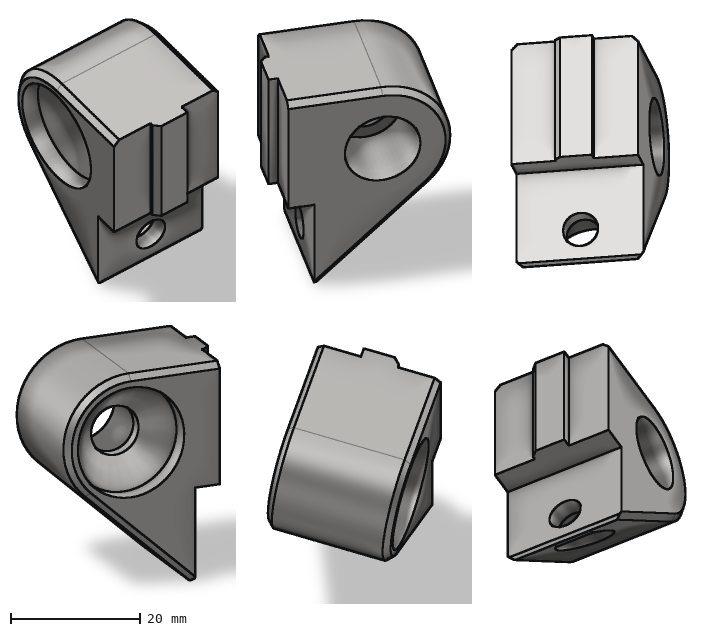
import cadquery as cq
import math

depth = 20.0
nose_radius = 11.0
block_right = 15.0
block_bottom = -8.92
leg_right = 10.87
tip_x = 10.38
tip_z = -24.4
edge_chamfer = 1.0

key_height = 1.5
key_width = 6.02
key_chamfer = 1.0

throat_diameter = 8.0
recess_diameter = 18.0
recess_depth = 3.0
cone_depth = 3.25
throat_length = 2.0
rear_bore_diameter = 12.0

screw_z = -18.95
screw_y = 0.1
screw_diameter = 5.5
head_diameter = 8.92
head_seat_wall = 2.9

front = -depth / 2

tangent_angle = math.atan2(tip_z, tip_x) - math.acos(nose_radius / math.hypot(tip_x, tip_z))
normal_x = math.cos(tangent_angle)
normal_z = math.sin(tangent_angle)
tangent_point = (nose_radius * normal_x, nose_radius * normal_z)
tip_cut_z = tip_z + (leg_right - tip_x) * normal_z / normal_x


def make_body():
    """Rounded block and pointed leg, with both rims of the outer side chamfered."""
    body = (
        cq.Workplane("XZ", origin=(0, depth / 2, 0))
        .moveTo(0, nose_radius)
        .lineTo(block_right, nose_radius)
        .lineTo(block_right, block_bottom)
        .lineTo(leg_right, block_bottom)
        .lineTo(leg_right, tip_cut_z)
        .lineTo(tip_x, tip_z)
        .lineTo(*tangent_point)
        .threePointArc((-nose_radius, 0), (0, nose_radius))
        .close()
        .extrude(depth)
    )
    rim_points = [
        (block_right / 2, nose_radius),
        (-nose_radius, 0),
        ((tip_x + tangent_point[0]) / 2, (tip_z + tangent_point[1]) / 2),
    ]
    rims = cq.Workplane()
    for y in (front, -front):
        face_edges = body.faces("<Y" if y < 0 else ">Y").edges()
        for x, z in rim_points:
            point = cq.Vertex.makeVertex(x, y, z)
            rims = rims.add(min(face_edges.vals(), key=point.distance))
    return body.newObject([body.val().chamfer(edge_chamfer, None, rims.vals())])


def make_key():
    """Vertical key with a bevel on its front outer edge."""
    key_right = block_right + key_height
    half = key_width / 2
    return (
        cq.Workplane("XY", origin=(0, 0, block_bottom))
        .moveTo(0, -half)
        .lineTo(key_right - key_chamfer, -half)
        .lineTo(key_right, -half + key_chamfer)
        .lineTo(key_right, half)
        .lineTo(0, half)
        .close()
        .extrude(nose_radius - block_bottom)
    )


def make_bore():
    """Cylindrical recess, cone, short throat and wider rear bore, revolved about Y."""
    recess_end = front + recess_depth
    cone_end = recess_end + cone_depth
    throat_end = cone_end + throat_length
    return (
        cq.Workplane("YZ")
        .moveTo(front, 0)
        .lineTo(front, -recess_diameter / 2)
        .lineTo(recess_end, -recess_diameter / 2)
        .lineTo(cone_end, -throat_diameter / 2)
        .lineTo(throat_end, -throat_diameter / 2)
        .lineTo(throat_end, -rear_bore_diameter / 2)
        .lineTo(-front, -rear_bore_diameter / 2)
        .lineTo(-front, 0)
        .close()
        .revolve(360, (0, 0), (1, 0))
    )


def make_screw_hole():
    """Through hole with a flat head seat, opening on the sloped side."""
    seat_x = leg_right - head_seat_wall
    plane = cq.Workplane("YZ", origin=(seat_x, screw_y, screw_z))
    hole = plane.circle(screw_diameter / 2).extrude(leg_right - seat_x)
    head = plane.circle(head_diameter / 2).extrude(-(seat_x + nose_radius))
    return hole.union(head)


result = make_body().union(make_key()).cut(make_bore()).cut(make_screw_hole())